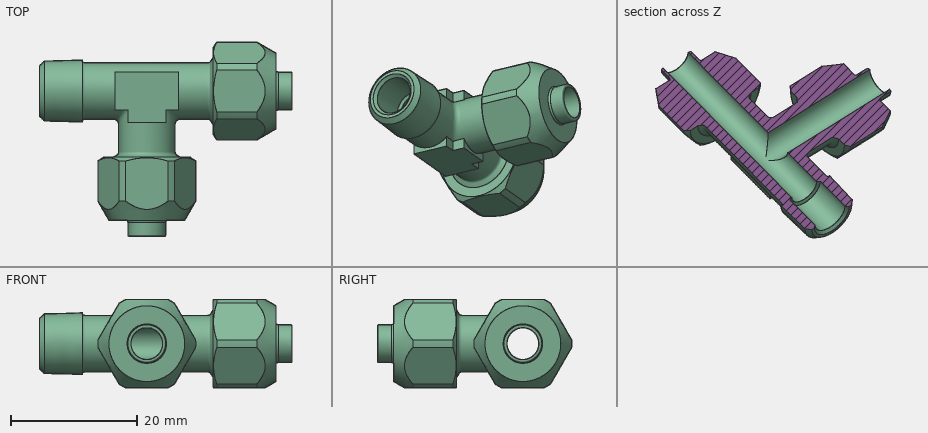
import cadquery as cq
import math

arm_length = 23.0
thread_end = 17.0
body_diameter = 9.0
bore_diameter = 5.0
body_radius = body_diameter / 2
bore_radius = bore_diameter / 2

thread_length = 6.8
thread_chamfer_length = 0.8
thread_mouth_radius = 4.0
thread_small_radius = 4.75
thread_large_radius = 4.9

counterbore_radius = 3.0
step_slope = math.radians(60)
counterbore_depth = 6.8
mouth_chamfer = 0.5

nut_flats = 14.0
nut_corner_radius = 7.75
nut_length = 10.0
nut_back_radius = 6.9
nut_back_chamfer = 0.6
nut_nose_radius = 6.0
nut_nose_slope = math.radians(30)

flare_radius = 0.6
flare_angle = math.radians(45)
flare_length = flare_radius * math.sin(flare_angle)

collar_length = 0.4
collar_radius = 5.35

tube_radius = 3.0
tube_stub = 2.5
tube_rim_fillet = 0.2
tube_root_radius = 3.1
tube_root_length = 0.35

pad_half_length = 5.0
pad_half_width = 3.0
pad_half_height = 5.0
pad_branch_reach = 5.0

tee_fillet = 0.7
tee_fillet_height = 7.2

nut_front = arm_length - tube_stub
nut_back = nut_front - nut_length


def turned(profile):
    """Solid turned about the X axis from a profile of axial place and radius."""
    return profile.close().revolve(360, (0, 0, 0), (1, 0, 0))


def along_branch(solid):
    """Turn a solid built along +X onto the -Y branch."""
    return solid.rotate((0, 0, 0), (0, 0, 1), -90)


def cylinder(start, end, radius):
    return cq.Workplane("YZ").workplane(offset=start).circle(radius).extrude(end - start)


def flare_point(angle):
    """Distance along the flare and radius there, after turning by an angle from the body."""
    return flare_radius * math.sin(angle), body_radius + flare_radius * (1 - math.cos(angle))


def make_collar():
    cone_start = nut_back - collar_length
    flare_start = cone_start - flare_length
    middle_distance, middle_radius = flare_point(flare_angle / 2)
    end_radius = flare_point(flare_angle)[1]
    return turned(
        cq.Workplane("XY")
        .moveTo(flare_start, 0)
        .lineTo(flare_start, body_radius)
        .threePointArc((flare_start + middle_distance, middle_radius), (cone_start, end_radius))
        .lineTo(nut_back, collar_radius)
        .lineTo(nut_back, 0)
    )


def make_nut():
    corner_diameter = nut_flats / math.cos(math.pi / 6)
    hexagon = cq.Workplane("YZ").workplane(offset=nut_back).polygon(6, corner_diameter).extrude(nut_length)
    nose_length = (nut_corner_radius - nut_nose_radius) / math.tan(nut_nose_slope)
    envelope = turned(
        cq.Workplane("XY")
        .moveTo(nut_back, 0)
        .lineTo(nut_back, nut_back_radius)
        .lineTo(nut_back + nut_back_chamfer, nut_corner_radius)
        .lineTo(nut_front - nose_length, nut_corner_radius)
        .lineTo(nut_front, nut_nose_radius)
        .lineTo(nut_front, 0)
    )
    return hexagon.intersect(envelope)


def make_tube():
    tube = cylinder(nut_front, arm_length, tube_radius).faces(">X").edges().fillet(tube_rim_fillet)
    root = turned(
        cq.Workplane("XY")
        .moveTo(nut_front, 0)
        .lineTo(nut_front, tube_root_radius)
        .lineTo(nut_front + tube_root_length, tube_radius)
        .lineTo(nut_front + tube_root_length, 0)
    )
    return tube.union(root)


def make_connection():
    return make_collar().union(make_nut()).union(make_tube())


def make_thread():
    thread_root = thread_length - thread_end
    flare_start = thread_root + flare_length
    middle_distance, middle_radius = flare_point(flare_angle / 2)
    end_radius = flare_point(flare_angle)[1]
    return turned(
        cq.Workplane("XY")
        .moveTo(-thread_end, 0)
        .lineTo(-thread_end, thread_mouth_radius)
        .lineTo(thread_chamfer_length - thread_end, thread_small_radius)
        .lineTo(thread_root, thread_large_radius)
        .lineTo(thread_root, end_radius)
        .threePointArc((flare_start - middle_distance, middle_radius), (flare_start, body_radius))
        .lineTo(flare_start, 0)
    )


def make_body():
    run = cylinder(thread_length - thread_end, nut_back, body_radius)
    branch = along_branch(cylinder(0, nut_back, body_radius))
    tee = run.union(branch)
    slab = cq.Workplane("XY").box(2 * thread_end, 2 * thread_end, tee_fillet_height)
    rounded = tee.intersect(slab).edges("%ELLIPSE").fillet(tee_fillet)
    return tee.union(rounded)


def make_pads():
    pad_height = 2 * pad_half_height
    run_pad = cq.Workplane("XY").box(2 * pad_half_length, 2 * pad_half_width, pad_height)
    branch_pad = (
        cq.Workplane("XY").box(2 * pad_half_width, pad_branch_reach, pad_height)
        .translate((0, -pad_branch_reach / 2, 0))
    )
    return run_pad.union(branch_pad)


def make_run_bore():
    step_start = counterbore_depth - thread_end
    step_length = (counterbore_radius - bore_radius) / math.tan(step_slope)
    mouth_radius = counterbore_radius + mouth_chamfer
    return turned(
        cq.Workplane("XY")
        .moveTo(-thread_end, 0)
        .lineTo(-thread_end, mouth_radius)
        .lineTo(mouth_chamfer - thread_end, counterbore_radius)
        .lineTo(step_start, counterbore_radius)
        .lineTo(step_start + step_length, bore_radius)
        .lineTo(arm_length, bore_radius)
        .lineTo(arm_length, 0)
    )


connection = make_connection()
result = (
    make_body()
    .union(make_pads())
    .union(make_thread())
    .union(connection)
    .union(along_branch(connection))
    .cut(make_run_bore())
    .cut(along_branch(cylinder(0, arm_length, bore_radius)))
)